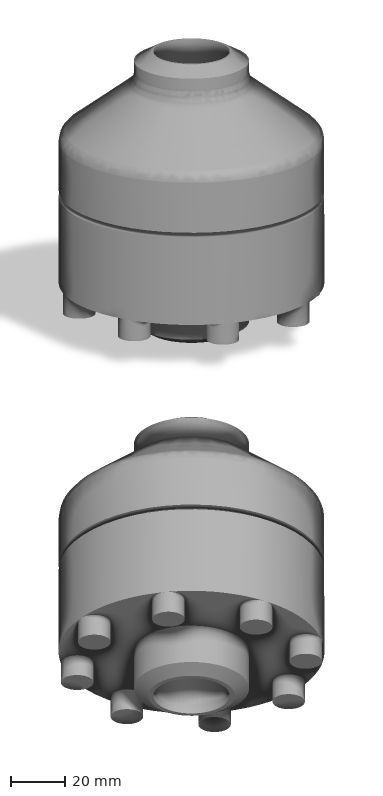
import cadquery as cq

height = 108.0
body_radius = 98.0 / 2
groove_radius = 92.0 / 2
pipe_radius = 42.4 / 2
bore_radius = 28.2 / 2

body_bottom = 18.1
groove_bottom = 52.1
groove_top = 54.0
shoulder_corner = 75.9
neck_corner = 97.2
blend_radius = 5.0

top_bevel_end_radius = 15.0
top_bevel_height = 3.5
bottom_bevel_end_radius = 16.0
bottom_bevel_height = 3.0

bolt_count = 8
bolt_diameter = 12.0
bolt_circle_radius = 43.0
bolt_length = 8.2


def make_housing():
    """Revolve the pipe, grooved body and conical shoulder as one solid."""
    outline = [
        (0, 0),
        (bottom_bevel_end_radius, 0),
        (pipe_radius, bottom_bevel_height),
        (pipe_radius, body_bottom),
        (body_radius, body_bottom),
        (body_radius, groove_bottom),
        (groove_radius, groove_bottom),
        (groove_radius, groove_top),
        (body_radius, groove_top),
        (body_radius, shoulder_corner),
        (pipe_radius, neck_corner),
        (pipe_radius, height - top_bevel_height),
        (top_bevel_end_radius, height),
        (0, height),
    ]
    return cq.Workplane("XZ").polyline(outline).close().revolve(360, (0, 0), (0, 1))


def blend_circle(solid, level):
    """Round the circular edge that lies at the given level."""
    half_band = 0.1
    edge_box = cq.selectors.BoxSelector(
        (-height, -height, level - half_band),
        (height, height, level + half_band),
        boundingbox=True,
    )
    return solid.edges(edge_box).fillet(blend_radius)


def make_bolts():
    """Equally spaced round bolt ends, hanging from the underside of the body."""
    return (
        cq.Workplane("XY", origin=(0, 0, body_bottom))
        .polarArray(bolt_circle_radius, 0, 360, bolt_count)
        .circle(bolt_diameter / 2)
        .extrude(-bolt_length)
    )


housing = make_housing()
for corner_level in (shoulder_corner, neck_corner):
    housing = blend_circle(housing, corner_level)

bore = cq.Workplane("XY").circle(bore_radius).extrude(height)
result = housing.union(make_bolts()).cut(bore)